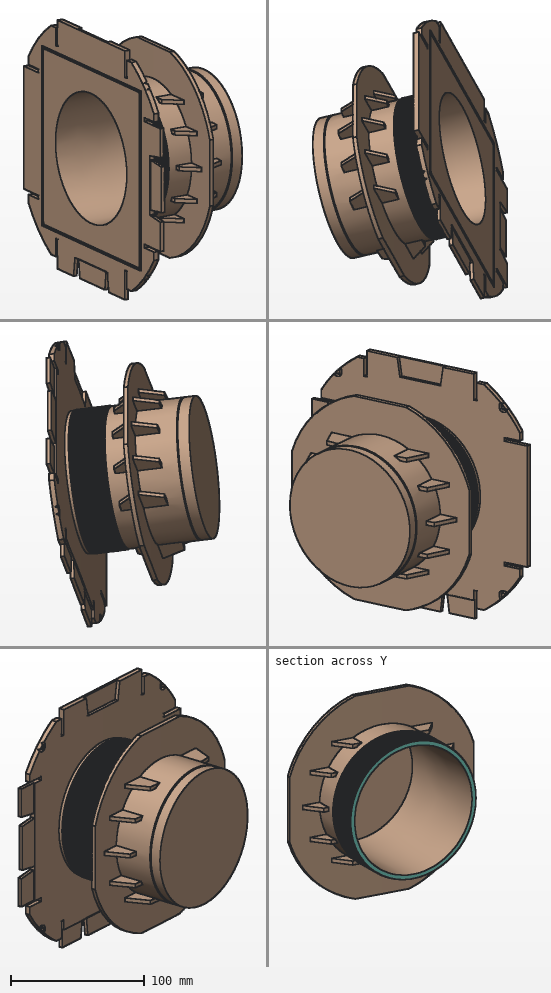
import cadquery as cq
import math


tube_length = 100.0
tube_radius = 108.4 / 2
bore_mouth_radius = 50.9
bore_end_radius = 50.3
end_wall = 3.9
cut_line_start = 90.5
cut_line_width = 0.8
cut_line_depth = 0.4

band_start = 7.2
band_end = 35.3
band_radius = 107.4 / 2
ridge_radius = 109.3 / 2
ridge_count = 15
ridge_pitch = 1.81
ridge_width = 0.5
first_ridge = 8.4

flange_thickness = 4.7
tab_half_width = 48.1
plain_reach = 96.3
tongue_reach = 98.6
slot_width = 2.7
slot_bottom = 75.6
lobe_reach = 89.7
lobe_radius = 106.5

joint_root = 83.6
tongue_root_half = 19.7
tongue_tip_half = 18.0
tongue_gap_root_half = 23.2
tongue_gap_tip_half = 25.1
tongue_front = 1.0
tongue_back = 3.9
tongue_tab_thickness = 3.0
socket_root = 81.3
socket_floor = 1.8
socket_root_half = 18.3
socket_mouth_half = 20.7

groove_half_size = 70.4
groove_width = 1.4
groove_depth = 0.5
groove_inner_corner_radius = 2.0

ring_offset = 105.8
ring_radius = 3.0
ring_floor = 2.1
ring_half_width = 1.2

collar_radius = 84.0
collar_half_x = 80.0
collar_half_z = 80.7
collar_middle = 57.0
collar_thickness = 4.0
fin_thickness = 3.1
fin_bottom = 41.7
fin_top = 77.5
fin_shoulder_top = 77.0
fin_bottom_setback = 10.5
fin_top_setback = 7.8
middle_fin_row = (0, 68.8)
outer_fin_rows = [(26.5, 62.4), (46.4, 43.7)]

draft_slope = 0.006

far = 117.0


def disc(radius, start, end):
    """Cylinder around the Y axis between two Y positions."""
    return cq.Workplane("XZ", origin=(0, start, 0)).circle(radius).extrude(start - end)


def slab(outline, start, end):
    """Prism along Y; outline points are (x, z)."""
    return cq.Workplane("XZ", origin=(0, start, 0)).polyline(outline).close().extrude(start - end)


def block(x_half, z_half, start, end):
    """Rectangular prism centred on the tube axis."""
    return cq.Workplane("XZ", origin=(0, start, 0)).rect(2 * x_half, 2 * z_half).extrude(start - end)


def drafted(front_mid, front_slope, back_mid):
    """Wedge-faced envelope, thickest at X = 0, that trims a plate to its draft."""
    front_edge = front_mid + front_slope * far
    back_edge = back_mid - draft_slope * far
    outline = [(-far, front_edge), (0, front_mid), (far, front_edge),
               (far, back_edge), (0, back_mid), (-far, back_edge)]
    return cq.Workplane("XY").polyline(outline).close().extrude(far, both=True)


def around(shape, angle):
    """Turn a shape about the tube axis; +90 takes +Z to +X."""
    return shape.rotate((0, 0, 0), (0, 1, 0), angle)


def make_flange():
    slot_outer = tab_half_width + slot_width
    flange = disc(lobe_radius, 0, flange_thickness)
    flange = flange.intersect(block(lobe_reach, lobe_reach, 0, flange_thickness))
    opening = slab([(-slot_outer, slot_bottom), (slot_outer, slot_bottom),
                    (slot_outer, far), (-slot_outer, far)], 0, flange_thickness)
    for angle, reach in ((0, plain_reach), (-90, plain_reach),
                         (90, tongue_reach), (180, tongue_reach)):
        tab = slab([(-tab_half_width, 0), (tab_half_width, 0),
                    (tab_half_width, reach), (-tab_half_width, reach)], 0, flange_thickness)
        flange = flange.cut(around(opening, angle)).union(around(tab, angle))
    return flange.intersect(drafted(0, 0, flange_thickness))


def trapezoid(root_half, root, tip_half, tip, start, end):
    """Prism widening or narrowing from root to tip in the +Z direction."""
    return slab([(-root_half, root), (root_half, root), (tip_half, tip), (-tip_half, tip)], start, end)


def cut_socket(flange):
    socket = trapezoid(socket_root_half, socket_root, socket_mouth_half, plain_reach,
                       socket_floor, flange_thickness)
    return flange.cut(socket)


def make_tongues(flange):
    gap = trapezoid(tongue_gap_root_half, joint_root, tongue_gap_tip_half, tongue_reach,
                    0, flange_thickness)
    thinning = slab([(-far, joint_root), (far, joint_root), (far, far), (-far, far)],
                    tongue_tab_thickness, flange_thickness)
    thinning = thinning.intersect(block(tab_half_width, far, 0, flange_thickness))
    tongue = trapezoid(tongue_root_half, joint_root, tongue_tip_half, tongue_reach,
                       tongue_front, tongue_back)
    for angle in (90, 180):
        flange = flange.cut(around(gap, angle)).cut(around(thinning, angle)).union(around(tongue, angle))
    return flange


def make_lobe_ring(angle):
    """V groove on a small circle, placed in the direction of the angle about the tube axis."""
    profile = [(ring_radius, ring_floor),
               (ring_radius + ring_half_width, flange_thickness),
               (ring_radius - ring_half_width, flange_thickness)]
    ring = cq.Workplane("XY").polyline(profile).close().revolve(360, (0, 0, 0), (0, 1, 0))
    return around(ring.translate((0, 0, ring_offset)), angle)


def make_face_groove():
    inner_half = groove_half_size - groove_width
    island = block(inner_half, inner_half, 0, groove_depth).edges("|Y").fillet(groove_inner_corner_radius)
    return block(groove_half_size, groove_half_size, 0, groove_depth).cut(island)


def make_tube():
    tube = disc(tube_radius, 0, band_start)
    tube = tube.union(disc(band_radius, band_start, band_end))
    tube = tube.union(disc(tube_radius, band_end, tube_length))
    for index in range(ridge_count):
        start = first_ridge + index * ridge_pitch - ridge_width / 2
        tube = tube.union(disc(ridge_radius, start, start + ridge_width))
    cut_line_end = cut_line_start + cut_line_width
    cut_line = disc(far, cut_line_start, cut_line_end)
    cut_line = cut_line.cut(disc(tube_radius - cut_line_depth, cut_line_start, cut_line_end))
    return tube.cut(cut_line)


def make_collar():
    front = collar_middle - collar_thickness / 2
    back = collar_middle + collar_thickness / 2
    collar = disc(collar_radius, front, back)
    collar = collar.intersect(block(collar_half_x, collar_half_z, front, back))
    return collar.intersect(drafted(front, draft_slope, back))


def make_fin(height, reach):
    """Pair of fins, one on each side of X = 0, in a plane of constant Z."""
    crest = math.sqrt(tube_radius ** 2 - height ** 2)
    right = [(reach - fin_bottom_setback, fin_bottom),
             (reach, collar_middle - collar_thickness / 2),
             (reach, collar_middle + collar_thickness / 2),
             (reach - fin_top_setback, fin_shoulder_top),
             (crest, fin_top)]
    left = [(-x, y) for x, y in reversed(right)]
    return (cq.Workplane("XY", origin=(0, 0, height - fin_thickness / 2))
            .polyline(right + left).close().extrude(fin_thickness))


def make_bore():
    depth = tube_length - end_wall
    profile = [(0, 0), (bore_mouth_radius, 0), (bore_end_radius, depth), (0, depth)]
    return cq.Workplane("XY").polyline(profile).close().revolve(360, (0, 0, 0), (0, 1, 0))


flange = make_tongues(cut_socket(make_flange())).cut(make_face_groove())
for angle in (45, 135, 225, 315):
    flange = flange.cut(make_lobe_ring(angle))
result = flange.union(make_tube()).union(make_collar())
result = result.union(make_fin(*middle_fin_row))
for height, reach in outer_fin_rows:
    result = result.union(make_fin(height, reach)).union(make_fin(-height, reach))
result = result.cut(make_bore())